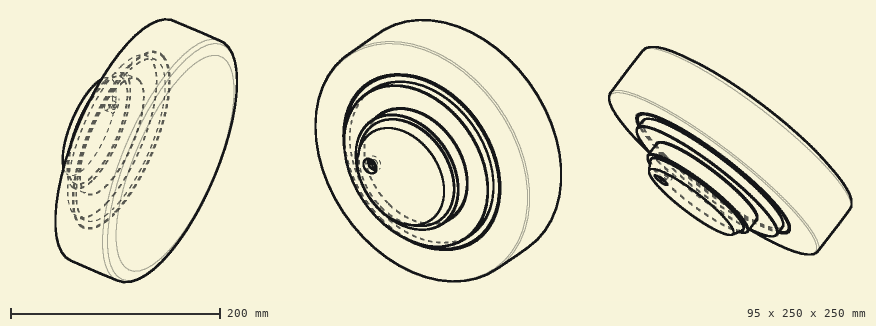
import cadquery as cq
import math

PIN_SHOULDER_X = 9.0
COLLAR_X = 10.0
FLANGE_X = 25.0
BODY_X = 35.0
BACK_X = 95.0

PIN_TIP_DIAMETER = 101.0
PIN_DIAMETER = 111.0
COLLAR_DIAMETER = 120.0
FLANGE_DIAMETER = 168.0
TREAD_DIAMETER = 250.0

EDGE_BREAK = 0.5

TREAD_CROWN = 0.2
FRONT_ROUND = 1.5
BACK_ROUND = 4.0
BACK_FACE_DIAMETER = 222.0
BACK_TAPER_ANGLE = 16.0

GROOVE_INNER_DIAMETER = 181.0
GROOVE_OUTER_DIAMETER = 182.0
GROOVE_DEPTH = 1.0

NIPPLE_Y = 36.0
RECESS_DIAMETER = 15.0
RECESS_DEPTH = 7.5
NIPPLE_DIAMETER = 7.5
NIPPLE_TIP_DIAMETER = 4.5
NIPPLE_HEIGHT = 6.0
NIPPLE_TAPER_HEIGHT = 2.0


def roller():
    """Revolved solid: pin, collar, flange and crowned tread."""
    collar_r = COLLAR_DIAMETER / 2
    flange_r = FLANGE_DIAMETER / 2
    tread_r = TREAD_DIAMETER / 2
    edge_r = tread_r - TREAD_CROWN
    back_r = BACK_FACE_DIAMETER / 2
    taper = math.radians(BACK_TAPER_ANGLE)

    corner_x = BACK_X - (edge_r - back_r) * math.tan(taper)
    turn = math.pi / 2 - taper
    tangent = BACK_ROUND * math.tan(turn / 2)
    round_x = corner_x - tangent
    round_centre_r = edge_r - BACK_ROUND

    def on_back_round(angle):
        return (round_x + BACK_ROUND * math.sin(angle), round_centre_r + BACK_ROUND * math.cos(angle))

    front_round_x = BODY_X + FRONT_ROUND
    front_round_mid = FRONT_ROUND * (1 - math.sqrt(0.5))
    profile = (
        cq.Workplane("XY")
        .moveTo(0, 0)
        .lineTo(0, PIN_TIP_DIAMETER / 2)
        .lineTo(PIN_SHOULDER_X, PIN_DIAMETER / 2)
        .lineTo(COLLAR_X, PIN_DIAMETER / 2)
        .lineTo(COLLAR_X, collar_r - EDGE_BREAK)
        .lineTo(COLLAR_X + EDGE_BREAK, collar_r)
        .lineTo(FLANGE_X - EDGE_BREAK, collar_r)
        .lineTo(FLANGE_X, collar_r - EDGE_BREAK)
        .lineTo(FLANGE_X + EDGE_BREAK, collar_r)
        .lineTo(FLANGE_X, collar_r + EDGE_BREAK)
        .lineTo(FLANGE_X, flange_r - EDGE_BREAK)
        .lineTo(FLANGE_X + EDGE_BREAK, flange_r)
        .lineTo(BODY_X - EDGE_BREAK, flange_r)
        .lineTo(BODY_X, flange_r - EDGE_BREAK)
        .lineTo(BODY_X, edge_r - FRONT_ROUND)
        .threePointArc((BODY_X + front_round_mid, edge_r - front_round_mid), (front_round_x, edge_r))
        .threePointArc(((front_round_x + round_x) / 2, tread_r), (round_x, edge_r))
        .threePointArc(on_back_round(turn / 2), on_back_round(turn))
        .lineTo(BACK_X, back_r)
        .lineTo(BACK_X, 0)
        .close()
    )
    return profile.revolve(360, (0, 0, 0), (1, 0, 0))


def seal_groove():
    """Thin ring, with chamfered mouth edges, to remove from the front face of the body."""
    inner_r = GROOVE_INNER_DIAMETER / 2
    outer_r = GROOVE_OUTER_DIAMETER / 2
    profile = (
        cq.Workplane("XY")
        .moveTo(BODY_X, inner_r - EDGE_BREAK)
        .lineTo(BODY_X + EDGE_BREAK, inner_r)
        .lineTo(BODY_X + GROOVE_DEPTH, inner_r)
        .lineTo(BODY_X + GROOVE_DEPTH, outer_r)
        .lineTo(BODY_X + EDGE_BREAK, outer_r)
        .lineTo(BODY_X, outer_r + EDGE_BREAK)
        .close()
    )
    return profile.revolve(360, (0, 0, 0), (1, 0, 0))


def nipple():
    """Grease nipple standing on the recess floor: a cylinder with a tapered tip."""
    base_height = NIPPLE_HEIGHT - NIPPLE_TAPER_HEIGHT
    return (
        cq.Workplane("XY", origin=(RECESS_DEPTH, NIPPLE_Y, 0))
        .lineTo(0, NIPPLE_DIAMETER / 2)
        .lineTo(-base_height, NIPPLE_DIAMETER / 2)
        .lineTo(-NIPPLE_HEIGHT, NIPPLE_TIP_DIAMETER / 2)
        .lineTo(-NIPPLE_HEIGHT, 0)
        .close()
        .revolve(360, (0, 0, 0), (1, 0, 0))
    )


def nipple_recess():
    """Round flat-bottomed pocket to remove from the pin face."""
    return cq.Workplane("YZ").center(NIPPLE_Y, 0).circle(RECESS_DIAMETER / 2).extrude(RECESS_DEPTH)


result = roller().cut(seal_groove()).cut(nipple_recess()).union(nipple())